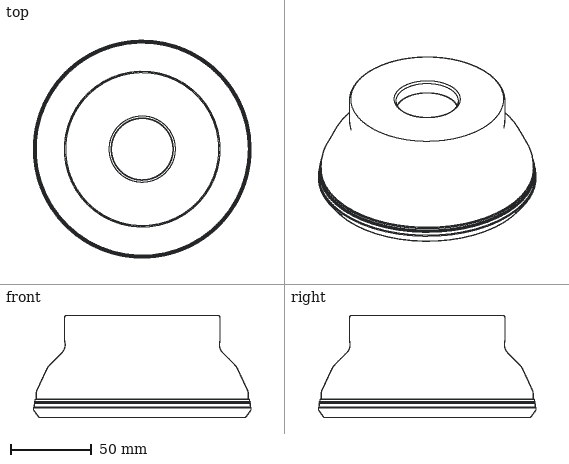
import cadquery as cq
import math


total_height = 63.5
joint_height = 11.7
skirt_angle = math.radians(25)

collar_radius = 48.4
collar_bottom = 48.3
collar_top_radius = 47.5
collar_edge_drop = 1.6
neck_start = 47.5
neck_end = 40.2
neck_arc_radius = 7.4
throat_radius = 48.0
flare_angle = math.radians(45)
shoulder_height = 31.8
shoulder_fillet = 10.2
skirt_radius = 65.9
skirt_fillet = 4.7

bore_radius = 38.1 / 2
bore_bottom = total_height - 26.5
entry_radius = 38.7 / 2
entry_depth = 8.1
entry_chamfer = 1.25

foot_radius = 64.1
rim_radius = 135.3 / 2
land_bottom = 4.9
land_rounding = 0.8
land_top = 6.1
band_bottom = 6.7
band_bottom_radius = 67.3
band_top_radius = 67.1
groove_bottom = 8.7
groove_top = 9.8
groove_depth = 0.2
groove_slope = 0.35
crown_radius = 66.75
crown_bottom = 10.1
crown_chamfer = 0.5


def cavity_radius(height):
    """Radius of the conical cavity below the bore."""
    return bore_radius + (bore_bottom - height) * math.tan(skirt_angle)


def fillet_ring(body, height, radius):
    """Fillet the circular edge whose centre lies on the axis at this height."""
    gap = 0.05
    picker = cq.selectors.BoxSelector((-gap, -gap, height - gap), (gap, gap, height + gap))
    return body.edges(picker).fillet(radius)


def revolve_about_z(profile):
    return profile.close().revolve(360, (0, 0, 0), (0, 1, 0))


def make_hub():
    arc_center_radius = throat_radius + neck_arc_radius
    arc_center_height = neck_end + neck_arc_radius * math.sin(flare_angle)
    neck_start_radius = arc_center_radius - math.sqrt(
        neck_arc_radius**2 - (neck_start - arc_center_height) ** 2
    )
    neck_end_radius = arc_center_radius - neck_arc_radius * math.cos(flare_angle)

    shoulder_radius = neck_end_radius + (neck_end - shoulder_height) * math.tan(flare_angle)
    skirt_top = shoulder_height - (skirt_radius - shoulder_radius) / math.tan(skirt_angle)

    profile = (
        cq.Workplane("XZ")
        .moveTo(cavity_radius(joint_height), joint_height)
        .lineTo(skirt_radius, joint_height)
        .lineTo(skirt_radius, skirt_top)
        .lineTo(shoulder_radius, shoulder_height)
        .lineTo(neck_end_radius, neck_end)
        .threePointArc((throat_radius, arc_center_height), (neck_start_radius, neck_start))
        .lineTo(collar_radius, collar_bottom)
        .lineTo(collar_radius, total_height - collar_edge_drop)
        .tangentArcPoint((collar_top_radius, total_height), relative=False)
        .lineTo(entry_radius + entry_chamfer, total_height)
        .lineTo(entry_radius, total_height - entry_chamfer)
        .lineTo(entry_radius, total_height - entry_depth)
        .lineTo(bore_radius, total_height - entry_depth)
        .lineTo(bore_radius, bore_bottom)
    )
    body = revolve_about_z(profile)
    body = fillet_ring(body, skirt_top, skirt_fillet)
    return fillet_ring(body, shoulder_height, shoulder_fillet)


def make_rim():
    profile = (
        cq.Workplane("XZ")
        .moveTo(cavity_radius(0), 0)
        .lineTo(foot_radius, 0)
        .lineTo(rim_radius, land_bottom)
        .lineTo(rim_radius, land_top)
        .lineTo(band_bottom_radius, band_bottom)
        .lineTo(band_top_radius, groove_bottom)
        .lineTo(band_top_radius - groove_depth, groove_bottom + groove_slope)
        .lineTo(band_top_radius - groove_depth, groove_top - groove_slope)
        .lineTo(band_top_radius, groove_top)
        .lineTo(crown_radius, crown_bottom)
        .lineTo(crown_radius, joint_height - crown_chamfer)
        .lineTo(crown_radius - crown_chamfer, joint_height)
        .lineTo(cavity_radius(joint_height), joint_height)
    )
    return fillet_ring(revolve_about_z(profile), land_bottom, land_rounding)


hub = make_hub()
rim = make_rim()
result = cq.Compound.makeCompound([hub.val(), rim.val()])